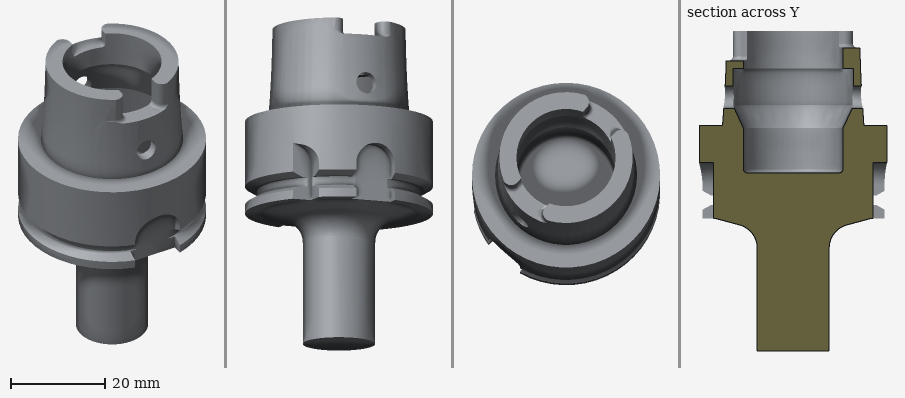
import cadquery as cq
import math


SHANK_LENGTH = 19.9
SHANK_TOP_DIA = 28.3
SHANK_MID_DIA = 28.86
SHANK_BASE_DIA = 30.15
BORE_DIA = 21.04
UNDERCUT_DIA = 25.57
UNDERCUT_TOP_DEPTH = 8.0
UNDERCUT_DEPTH = 15.7
UNDERCUT_CONE_ANGLE = 25.0
CAVITY_DEPTH = 30.0
CAVITY_FLOOR_FILLET = 0.7
CROSS_HOLE_DIA = 4.6
CROSS_HOLE_DEPTH = 14.0

NOTCH_WIDTH = 8.05
NOTCH_LUG_FACE_RADIUS = 14.18
NOTCH_LUG_FACE_ANGLE = 30.0
NOTCH_LUG_RADIUS = 1.8
NOTCH_FLOOR_FILLET = 0.9
NOTCH_INNER_X = 7.0
NOTCH_DEPTH_LEFT = 3.5
NOTCH_DEPTH_RIGHT = 6.2

FLANGE_DIA = 39.95
FLANGE_HEIGHT = 19.9
GROOVE_CENTRE_DEPTH = 16.03
GROOVE_DIA = 34.8
GROOVE_MOUTH_WIDTH = 4.0
GROOVE_FLOOR_WIDTH = 2.0
GROOVE_FLANK_ANGLE = 60.0

KEYWAY_TOP_DEPTH = 8.0
KEYWAY_LEFT_WIDTH = 9.0
KEYWAY_RIGHT_WIDTH = 11.0
KEYWAY_FLOOR_X = 17.0
SIDE_KEYWAY_WIDTH = 9.0
SIDE_KEYWAY_FLOOR_X = 12.0
SIDE_KEYWAY_INNER_Y = 11.75

STEM_DIA = 15.4
STEM_BOTTOM_Z = -48.0
STEM_FILLET = 5.0
UNDERSIDE_DIA = 33.0
UNDERSIDE_ANGLE = 15.0

CLEARANCE = 5.0


def make_body():
    """Revolve the outside of shank, flange, groove, underside and stem."""
    top_r = SHANK_TOP_DIA / 2
    mid_r = SHANK_MID_DIA / 2
    base_r = SHANK_BASE_DIA / 2

    flange_r = FLANGE_DIA / 2
    groove_r = GROOVE_DIA / 2
    half_mouth = GROOVE_MOUTH_WIDTH / 2
    half_floor = GROOVE_FLOOR_WIDTH / 2
    flank_r = flange_r - (half_mouth - half_floor) * math.tan(math.radians(GROOVE_FLANK_ANGLE))
    groove_z = -GROOVE_CENTRE_DEPTH

    stem_r = STEM_DIA / 2
    slope = math.radians(UNDERSIDE_ANGLE)
    centre_r = stem_r + STEM_FILLET
    fillet_top_r = centre_r - STEM_FILLET * math.sin(slope)
    fillet_top_z = -FLANGE_HEIGHT - (UNDERSIDE_DIA / 2 - fillet_top_r) * math.tan(slope)
    centre_z = fillet_top_z - STEM_FILLET * math.cos(slope)
    mid_angle = (math.pi / 2 + slope + math.pi) / 2
    fillet_mid = (
        centre_r + STEM_FILLET * math.cos(mid_angle),
        centre_z + STEM_FILLET * math.sin(mid_angle),
    )

    return (
        cq.Workplane("XZ")
        .moveTo(0, SHANK_LENGTH)
        .lineTo(top_r, SHANK_LENGTH)
        .threePointArc((mid_r, SHANK_LENGTH / 2), (base_r, 0))
        .lineTo(flange_r, 0)
        .lineTo(flange_r, groove_z + half_mouth)
        .lineTo(flank_r, groove_z + half_floor)
        .lineTo(groove_r, groove_z + half_floor)
        .lineTo(groove_r, groove_z - half_floor)
        .lineTo(flank_r, groove_z - half_floor)
        .lineTo(flange_r, groove_z - half_mouth)
        .lineTo(flange_r, -FLANGE_HEIGHT)
        .lineTo(UNDERSIDE_DIA / 2, -FLANGE_HEIGHT)
        .lineTo(fillet_top_r, fillet_top_z)
        .threePointArc(fillet_mid, (stem_r, centre_z))
        .lineTo(stem_r, STEM_BOTTOM_Z)
        .lineTo(0, STEM_BOTTOM_Z)
        .close()
        .revolve(360, (0, 0, 0), (0, 1, 0))
    )


def make_cavity():
    """Blind bore with a rounded floor corner and a wider clamping undercut part way down."""
    bore = (
        cq.Workplane("XY", origin=(0, 0, SHANK_LENGTH - CAVITY_DEPTH))
        .circle(BORE_DIA / 2)
        .extrude(CAVITY_DEPTH)
        .faces("<Z")
        .edges()
        .fillet(CAVITY_FLOOR_FILLET)
    )
    bore_r = BORE_DIA / 2
    undercut_r = UNDERCUT_DIA / 2
    top_z = SHANK_LENGTH - UNDERCUT_TOP_DEPTH
    cone_z = SHANK_LENGTH - UNDERCUT_DEPTH
    cone_height = (undercut_r - bore_r) / math.tan(math.radians(UNDERCUT_CONE_ANGLE))
    undercut = (
        cq.Workplane("XZ")
        .moveTo(0, top_z)
        .lineTo(undercut_r, top_z)
        .lineTo(undercut_r, cone_z)
        .lineTo(bore_r, cone_z - cone_height)
        .lineTo(0, cone_z - cone_height)
        .close()
        .revolve(360, (0, 0, 0), (0, 1, 0))
    )
    return bore.union(undercut)


def make_cross_hole():
    """Radial hole along X through both walls of the shank."""
    return (
        cq.Workplane("YZ")
        .center(0, SHANK_LENGTH - CROSS_HOLE_DEPTH)
        .circle(CROSS_HOLE_DIA / 2)
        .extrude(SHANK_BASE_DIA / 2, both=True)
    )


def make_notch(depth):
    """Drive notch on the +X side.

    Each lug beside the slot ends in a rounded corner that runs out along a flat
    face, nearly tangent to the shank side.
    """
    half_width = NOTCH_WIDTH / 2
    radius = NOTCH_LUG_RADIUS
    angle = math.radians(NOTCH_LUG_FACE_ANGLE)
    corner_y = half_width + radius
    corner_x = (NOTCH_LUG_FACE_RADIUS - radius - corner_y * math.sin(angle)) / math.cos(angle)
    arc_end = (corner_x + radius * math.cos(angle), corner_y + radius * math.sin(angle))
    mid_angle = (angle - math.pi / 2) / 2
    arc_mid = (corner_x + radius * math.cos(mid_angle), corner_y + radius * math.sin(mid_angle))
    run_out = (
        arc_end[0] - CLEARANCE * math.sin(angle),
        arc_end[1] + CLEARANCE * math.cos(angle),
    )
    outer = SHANK_BASE_DIA / 2 + CLEARANCE

    def mirrored(point):
        return (point[0], -point[1])

    return (
        cq.Workplane("XY", origin=(0, 0, SHANK_LENGTH - depth))
        .moveTo(NOTCH_INNER_X, -half_width)
        .lineTo(corner_x, -half_width)
        .threePointArc(mirrored(arc_mid), mirrored(arc_end))
        .lineTo(*mirrored(run_out))
        .lineTo(outer, -run_out[1])
        .lineTo(outer, run_out[1])
        .lineTo(*run_out)
        .lineTo(*arc_end)
        .threePointArc(arc_mid, (corner_x, half_width))
        .lineTo(NOTCH_INNER_X, half_width)
        .close()
        .extrude(depth + CLEARANCE)
        .faces("<Z")
        .edges()
        .fillet(NOTCH_FLOOR_FILLET)
    )


def make_keyway(width, floor_x, centre_y):
    """Round-topped keyway on the +X side, open outwards and downwards."""
    radius = width / 2
    bottom_z = -FLANGE_HEIGHT - CLEARANCE
    arc_z = -KEYWAY_TOP_DEPTH - radius
    return (
        cq.Workplane("YZ", origin=(floor_x, 0, 0))
        .moveTo(centre_y - radius, bottom_z)
        .lineTo(centre_y - radius, arc_z)
        .threePointArc((centre_y, -KEYWAY_TOP_DEPTH), (centre_y + radius, arc_z))
        .lineTo(centre_y + radius, bottom_z)
        .close()
        .extrude(FLANGE_DIA / 2)
    )


def to_left(shape):
    """Mirror a shape made for the +X side onto the -X side."""
    return shape.mirror("YZ")


side_keyway_y = SIDE_KEYWAY_INNER_Y + SIDE_KEYWAY_WIDTH / 2

cutters = [
    make_cavity(),
    make_cross_hole(),
    make_notch(NOTCH_DEPTH_RIGHT),
    to_left(make_notch(NOTCH_DEPTH_LEFT)),
    make_keyway(KEYWAY_RIGHT_WIDTH, KEYWAY_FLOOR_X, 0),
    to_left(make_keyway(KEYWAY_LEFT_WIDTH, KEYWAY_FLOOR_X, 0)),
    to_left(make_keyway(SIDE_KEYWAY_WIDTH, SIDE_KEYWAY_FLOOR_X, side_keyway_y)),
]

result = make_body()
for cutter in cutters:
    result = result.cut(cutter)